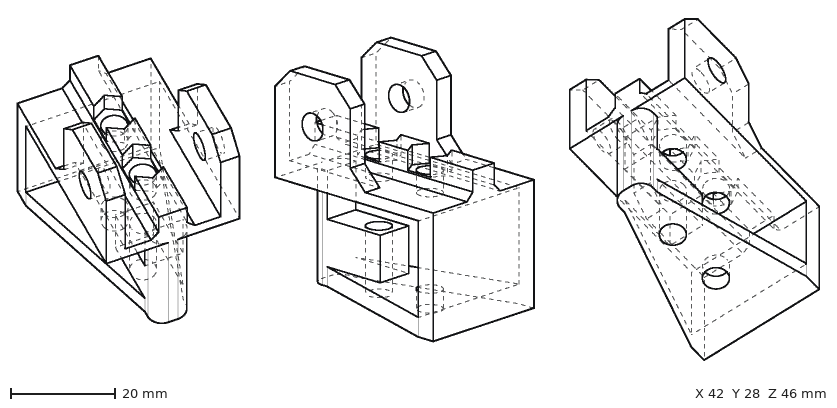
import cadquery as cq
import math

LENGTH = 42.0
WIDTH = 28.0
HEIGHT = 46.0
WALL = 4.0

DECK_TOP = 26.0
DECK_UNDERSIDE = 23.5
POST_START = 37.7
POST_WIDTH = 2 * WALL
POST_RADIUS = 3.0
BLOCK_START = 23.65
BLOCK_TOP = 13.6

RAIL_WIDTH = 6.0
RAIL_TOP = 32.0
RAIL_FOOT = 1.6

SCREW_DIAMETER = 5.2
SCREW_X = (14.3, 27.8)
NUT_ACROSS_FLATS = 8.1
NUT_FLOOR = 28.0

LUG_START = 22.05
LUG_TOE = 4.0
PIVOT_X = (LUG_START + LENGTH) / 2
PIVOT_Z = 36.0
PIVOT_DIAMETER = 5.5


def box(x_start, x_end, width, z_start, z_end):
    """Box centred across Y between the given X and Z limits."""
    return (
        cq.Workplane("XY")
        .box(x_end - x_start, width, z_end - z_start, centered=(False, True, False))
        .translate((x_start, 0, z_start))
    )


def make_floor():
    """Floor plate tapering from the end wall to the narrow post."""
    wide = WIDTH / 2
    narrow = POST_WIDTH / 2
    outline = [(WALL, -wide), (POST_START, -narrow), (POST_START, narrow), (WALL, wide)]
    return cq.Workplane("XY").polyline(outline).close().extrude(WALL)


def make_post():
    """Post supporting the deck, with rounded outer corners."""
    post = box(POST_START, LENGTH, POST_WIDTH, 0, DECK_UNDERSIDE)
    return post.edges("|Z and >X").fillet(POST_RADIUS)


def make_rail():
    """Full-length rail whose sides flare out where they meet the deck."""
    half = RAIL_WIDTH / 2
    foot_half = half + RAIL_FOOT
    foot_top = DECK_TOP + RAIL_FOOT
    outline = [
        (-foot_half, DECK_TOP), (foot_half, DECK_TOP), (half, foot_top),
        (half, RAIL_TOP), (-half, RAIL_TOP), (-half, foot_top),
    ]
    return cq.Workplane("YZ").polyline(outline).close().extrude(LENGTH)


def make_lug(face_y):
    """Pivot lug whose face on the -Y side lies at face_y."""
    outline = [
        (LUG_START - LUG_TOE, DECK_TOP), (LENGTH, DECK_TOP), (LENGTH, HEIGHT - WALL),
        (LENGTH - WALL, HEIGHT), (LUG_START + WALL, HEIGHT), (LUG_START, HEIGHT - WALL),
        (LUG_START, DECK_TOP + LUG_TOE),
    ]
    lug = cq.Workplane("XZ").polyline(outline).close().extrude(-WALL)
    pivot_hole = cq.Workplane("XZ").center(PIVOT_X, PIVOT_Z).circle(PIVOT_DIAMETER / 2).extrude(-WALL)
    return lug.cut(pivot_hole).translate((0, face_y, 0))


def make_screw_cut(x):
    """Through hole topped by a nut pocket with points along X."""
    hole = cq.Workplane("XY").center(x, 0).circle(SCREW_DIAMETER / 2).extrude(RAIL_TOP)
    across_points = NUT_ACROSS_FLATS / math.cos(math.radians(30))
    pocket = (
        cq.Workplane("XY", origin=(x, 0, NUT_FLOOR))
        .polygon(6, across_points)
        .extrude(RAIL_TOP - NUT_FLOOR)
    )
    return hole.union(pocket)


end_wall = box(0, WALL, WIDTH, 0, DECK_TOP)
deck = box(0, LENGTH, WIDTH, DECK_UNDERSIDE, DECK_TOP)
block = box(BLOCK_START, POST_START, POST_WIDTH, 0, BLOCK_TOP)

body = end_wall.union(deck).union(make_floor()).union(make_post()).union(block).union(make_rail())

for face_y in (-WIDTH / 2, WIDTH / 2 - WALL):
    body = body.union(make_lug(face_y))

for screw_x in SCREW_X:
    body = body.cut(make_screw_cut(screw_x))

result = body.clean()